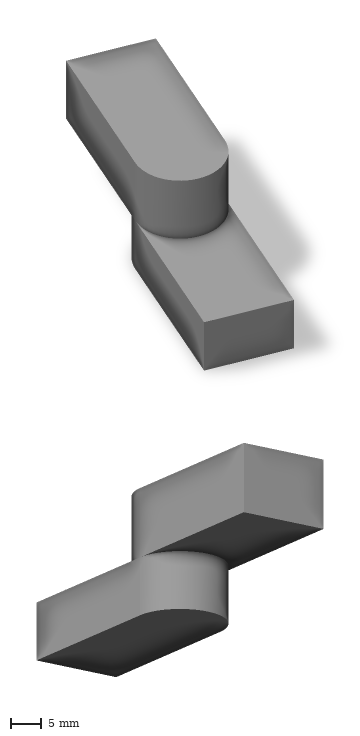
import cadquery as cq

overall_length = 60.0
arm_width = 16.0
lower_thickness = 10.0
upper_thickness = 12.0

arm_reach = overall_length / 2
end_radius = arm_width / 2


def make_arm(direction, bottom, thickness):
    """Bar reaching along X in the given direction (+1 or -1), with a full round end about the pivot axis."""
    square_end = direction * arm_reach
    round_tip = -direction * end_radius
    return (
        cq.Workplane("XY", origin=(0, 0, bottom))
        .moveTo(square_end, -end_radius)
        .lineTo(0, -end_radius)
        .threePointArc((round_tip, 0), (0, end_radius))
        .lineTo(square_end, end_radius)
        .close()
        .extrude(thickness)
    )


lower_arm = make_arm(1, 0, lower_thickness)
upper_arm = make_arm(-1, lower_thickness, upper_thickness)

result = cq.Compound.makeCompound([lower_arm.val(), upper_arm.val()])